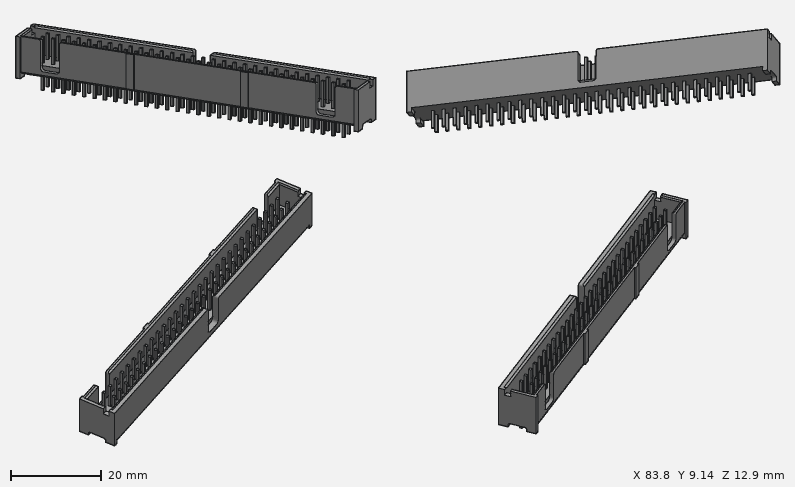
import cadquery as cq


LENGTH = 83.82
DEPTH = 9.14
HEIGHT = 9.85
END_WALL = 1.1
FRONT_WALL = 1.0
BACK_WALL = 1.5
FRONT_SETBACK = 0.35
FLOOR_Z = 3.4
BODY_BOTTOM_Z = 1.0
FRONT_BOTTOM_CHAMFER = 0.5

LEAD_IN_HEIGHT = 0.3
FRONT_LEAD_IN = 0.5
BACK_LEAD_IN = 0.5
END_LEAD_IN = 0.3

COLUMNS = 30
ROWS = 2
PITCH = 2.54
PIN_SIZE = 0.62
PIN_BOTTOM_Z = -3.05
PIN_TOP_Z = HEIGHT - 0.4

WINDOW_WIDTH = 4.6
WINDOW_OFFSET = 33.72
KEY_WIDTH = 4.2
OPENING_BOTTOM_Z = 2.35
OPENING_CORNER_RADIUS = 0.8
OPENING_MOUTH_RADIUS = 0.5

NOTCH_WIDTH = 1.45
NOTCH_DEPTH = 1.5
RIB_WIDTH = 1.8
RIB_OFFSET = 5.5 * PITCH
FOOT_GAP_WIDTH = 4.5
FOOT_GAP_RADIUS = 0.5

HALF_LENGTH = LENGTH / 2
FRONT_Y = -DEPTH / 2
BACK_Y = DEPTH / 2
FACE_Y = FRONT_Y + FRONT_SETBACK
INNER_X = HALF_LENGTH - END_WALL
INNER_FRONT_Y = FACE_Y + FRONT_WALL
INNER_BACK_Y = BACK_Y - BACK_WALL
RIB_BOTTOM_Z = BODY_BOTTOM_Z + FRONT_BOTTOM_CHAMFER


def block(x_min, x_max, y_min, y_max, z_min, z_max):
    """Axis-aligned box between the given limits."""
    size = (x_max - x_min, y_max - y_min, z_max - z_min)
    return cq.Workplane("XY").box(*size, centered=False).translate((x_min, y_min, z_min))


def make_body():
    """Long block with a bevel along its lower front edge."""
    body = block(-HALF_LENGTH, HALF_LENGTH, FACE_Y, BACK_Y, BODY_BOTTOM_Z, HEIGHT)
    return body.edges("<Y and <Z").chamfer(FRONT_BOTTOM_CHAMFER)


def make_end_wall(side):
    """End wall carrying two feet with a round-cornered gap between them."""
    x_min, x_max = sorted((side * INNER_X, side * HALF_LENGTH))
    half_gap = FOOT_GAP_WIDTH / 2
    gap = block(x_min, x_max, -half_gap, half_gap, 0, BODY_BOTTOM_Z)
    gap = gap.edges("|X and >Z").fillet(FOOT_GAP_RADIUS)
    return block(x_min, x_max, FRONT_Y, BACK_Y, 0, HEIGHT).cut(gap)


def make_rib(x):
    """Upright rib standing proud of the front face."""
    half_width = RIB_WIDTH / 2
    return block(x - half_width, x + half_width, FRONT_Y, INNER_FRONT_Y, RIB_BOTTOM_Z, HEIGHT)


def make_cavity():
    """Cavity with bevelled lead-ins at its mouth."""
    pocket = block(-INNER_X, INNER_X, INNER_FRONT_Y, INNER_BACK_Y, FLOOR_Z, HEIGHT)
    lower_depth = INNER_BACK_Y - INNER_FRONT_Y
    upper_depth = lower_depth + FRONT_LEAD_IN + BACK_LEAD_IN
    lower_center_y = (INNER_BACK_Y + INNER_FRONT_Y) / 2
    upper_shift_y = (BACK_LEAD_IN - FRONT_LEAD_IN) / 2
    mouth = (
        cq.Workplane("XY", origin=(0, lower_center_y, HEIGHT - LEAD_IN_HEIGHT))
        .rect(2 * INNER_X, lower_depth)
        .workplane(offset=LEAD_IN_HEIGHT)
        .center(0, upper_shift_y)
        .rect(2 * (INNER_X + END_LEAD_IN), upper_depth)
        .loft(ruled=True)
    )
    return pocket.union(mouth)


def make_opening(x, width, y_min, y_max):
    """Cutter for a wall opening: rounded lower corners and a flared mouth."""
    half_width = width / 2
    corner = OPENING_CORNER_RADIUS
    flare = OPENING_MOUTH_RADIUS
    profile = (
        cq.Workplane("XZ", origin=(x, y_max, 0))
        .moveTo(-half_width + corner, OPENING_BOTTOM_Z)
        .lineTo(half_width - corner, OPENING_BOTTOM_Z)
        .radiusArc((half_width, OPENING_BOTTOM_Z + corner), -corner)
        .lineTo(half_width, HEIGHT - flare)
        .radiusArc((half_width + flare, HEIGHT), flare)
        .lineTo(-half_width - flare, HEIGHT)
        .radiusArc((-half_width, HEIGHT - flare), flare)
        .lineTo(-half_width, OPENING_BOTTOM_Z + corner)
        .radiusArc((-half_width + corner, OPENING_BOTTOM_Z), -corner)
        .close()
    )
    return profile.extrude(y_max - y_min)


def make_end_notches():
    """Cutter for the notches in both end walls, next to the back wall."""
    notch_front_y = INNER_BACK_Y - NOTCH_WIDTH
    notch_bottom_z = HEIGHT - NOTCH_DEPTH
    return block(-HALF_LENGTH, HALF_LENGTH, notch_front_y, INNER_BACK_Y, notch_bottom_z, HEIGHT)


def make_pins():
    """Grid of square pins passing through the floor."""
    pin_length = PIN_TOP_Z - PIN_BOTTOM_Z
    return (
        cq.Workplane("XY", origin=(0, 0, PIN_BOTTOM_Z))
        .rarray(PITCH, PITCH, COLUMNS, ROWS)
        .rect(PIN_SIZE, PIN_SIZE)
        .extrude(pin_length)
    )


shroud = make_body()
for side in (-1, 1):
    shroud = shroud.union(make_end_wall(side))
    shroud = shroud.union(make_rib(side * RIB_OFFSET))

shroud = shroud.cut(make_cavity())
shroud = shroud.cut(make_end_notches())
shroud = shroud.cut(make_opening(0, KEY_WIDTH, INNER_BACK_Y, BACK_Y))
for side in (-1, 1):
    shroud = shroud.cut(make_opening(side * WINDOW_OFFSET, WINDOW_WIDTH, FACE_Y, INNER_FRONT_Y))

result = shroud.union(make_pins())